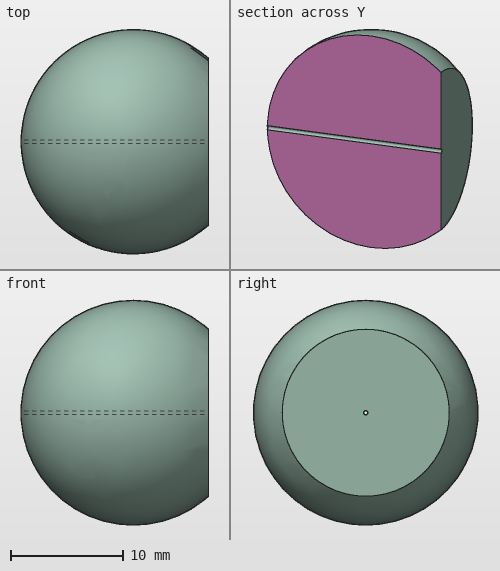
import cadquery as cq

ball_diameter = 20.0
overall_length = 16.7
hole_diameter = 0.35

ball_radius = ball_diameter / 2
flat_x = overall_length - ball_radius


def truncated_ball():
    """Ball with everything beyond the flat removed."""
    ball = cq.Workplane("XY").sphere(ball_radius)
    keep = cq.Workplane("XY").box(
        overall_length, ball_diameter, ball_diameter
    ).translate((flat_x - overall_length / 2, 0, 0))
    return ball.intersect(keep)


def axial_hole():
    """Cylinder along X spanning the whole ball."""
    return (
        cq.Workplane("YZ")
        .workplane(offset=-ball_radius)
        .circle(hole_diameter / 2)
        .extrude(overall_length)
    )


result = truncated_ball().cut(axial_hole())